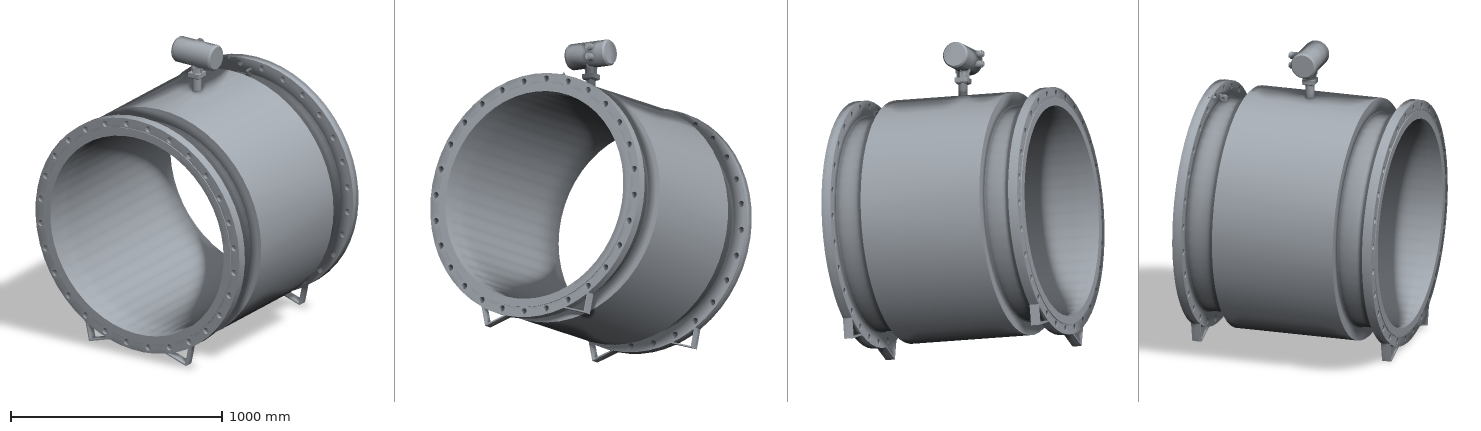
import cadquery as cq

length = 1000.0
bore_dia = 1000.0
tube_dia = 1020.0
coil_housing_dia = 1157.0
coil_housing_length = 601.0
weld_size = 6.0

flange_dia = 1175.0
flange_thickness = 46.0
raised_face_dia = 1080.0
raised_face_height = 5.0
bolt_count = 28
bolt_circle_dia = 1120.0
bolt_hole_dia = 30.0
flange_outer_y = length / 2 - raised_face_height
flange_inner_y = flange_outer_y - flange_thickness
bolt_pitch_angle = 360 / bolt_count

lug_size = 36.0
lug_width = 11.0
lug_hole_dia = 19.0
lug_corner_chamfer = 6.0
lug_root = 3.0

foot_outer_end = (-301.0, -500.0)
foot_tip = (-279.0, -601.0)
foot_inner_end = (-149.0, -561.0)
foot_strip = 7.0

head_dia = 125.0
head_end_dia = 110.0
head_length = 223.0
head_x = 1.0
head_chamfer_length = 10.0
head_top_z = 830.0
head_z = head_top_z - head_dia / 2
pole_dia = 42.0
collar_width = 62.0
collar_bottom_z = 646.0
collar_top_z = 673.0
collar_chamfer = 6.0
rib_top_width = 72.0
rib_step_z = 699.0
rib_thickness = 6.0

gland_x = -36.0
gland_spacing = 49.0
gland_dia = 35.0
gland_end_y = 83.0
gland_nut_dia = 25.0
gland_nut_end_y = 92.0

terminal_angle = 12.5
terminal_plate_length = 35.0
terminal_plate_width = 19.0
terminal_plate_thickness = 7.0
terminal_plate_start_y = 430.0
screw_dia = 8.0
screw_y = 442.0
screw_bottom_radius = 579.0
screw_head_dia = 15.0
screw_head_height = 6.0
screw_head_top_radius = 597.0
screw_top_radius = 601.0


def cylinder_y(diameter, start_y, end_y, x=0, z=0):
    """Cylinder parallel to Y between two Y positions."""
    return (
        cq.Workplane("XZ", origin=(x, start_y, z))
        .circle(diameter / 2)
        .extrude(start_y - end_y)
    )


def cylinder_z(diameter, bottom_z, top_z, y=0):
    """Cylinder parallel to Z between two heights."""
    return (
        cq.Workplane("XY", origin=(0, y, bottom_z))
        .circle(diameter / 2)
        .extrude(top_z - bottom_z)
    )


def block_z(size_x, size_y, bottom_z, top_z):
    """Block centred on the Z axis between two heights."""
    height = top_z - bottom_z
    return (
        cq.Workplane("XY", origin=(0, 0, bottom_z))
        .box(size_x, size_y, height, centered=(True, True, False))
    )


def make_flange():
    """Flange at the +Y end, with raised face and bolt holes."""
    flange = cylinder_y(flange_dia, flange_inner_y, flange_outer_y)
    flange = flange.union(cylinder_y(raised_face_dia, flange_inner_y, length / 2))
    holes = (
        cq.Workplane("XZ", origin=(0, flange_inner_y, 0))
        .polarArray(bolt_circle_dia / 2, 90 + bolt_pitch_angle / 2, 360, bolt_count)
        .circle(bolt_hole_dia / 2)
        .extrude(-flange_thickness)
    )
    return flange.cut(holes)


def make_weld(root_y, toe_y):
    """Conical weld around the tube, full size at root_y and fading out at toe_y."""
    tube_radius = tube_dia / 2
    return (
        cq.Workplane("XY")
        .moveTo(bore_dia / 2, root_y)
        .lineTo(tube_radius + weld_size, root_y)
        .lineTo(tube_radius, toe_y)
        .lineTo(bore_dia / 2, toe_y)
        .close()
        .revolve(360, (0, 0, 0), (0, 1, 0))
    )


def make_lug():
    """Pierced lifting lug in the corner between tube and +Y flange."""
    bottom_z = tube_dia / 2 - lug_root
    top_z = tube_dia / 2 + lug_size
    lug = (
        cq.Workplane("YZ", origin=(-lug_width / 2, 0, 0))
        .moveTo(flange_inner_y, bottom_z)
        .lineTo(flange_inner_y - lug_size, bottom_z)
        .lineTo(flange_inner_y - lug_size, top_z - lug_corner_chamfer)
        .lineTo(flange_inner_y - lug_size + lug_corner_chamfer, top_z)
        .lineTo(flange_inner_y, top_z)
        .close()
        .extrude(lug_width)
    )
    hole = (
        cq.Workplane("YZ", origin=(-lug_width / 2, 0, 0))
        .center(flange_inner_y - lug_size / 2, tube_dia / 2 + lug_size / 2)
        .circle(lug_hole_dia / 2)
        .extrude(lug_width)
    )
    return lug.cut(hole)


def make_foot():
    """Bent strip under the -X side of the +Y flange; its closing side is buried in the flange."""
    corners = (foot_outer_end, foot_tip, foot_inner_end)
    outline = cq.Workplane("XZ", origin=(0, flange_outer_y, 0)).polyline(corners).close()
    inner = outline.offset2D(-foot_strip).extrude(flange_thickness)
    outer = (
        cq.Workplane("XZ", origin=(0, flange_outer_y, 0))
        .polyline(corners)
        .close()
        .extrude(flange_thickness)
    )
    return outer.cut(inner)


def make_neck_rib():
    """Pair of opposite neck ribs, widening in a step just below the head."""
    lower = block_z(collar_width, rib_thickness, collar_top_z, head_z)
    upper = block_z(rib_top_width, rib_thickness, rib_step_z, head_z - head_dia / 4)
    return lower.union(upper)


def make_head():
    """Transmitter head with chamfered ends, cable glands, ribbed neck and pole."""
    end_drop = (head_dia - head_end_dia) / 2
    head = (
        cq.Workplane("YZ", origin=(head_x - head_length / 2, 0, head_z))
        .circle(head_dia / 2)
        .extrude(head_length)
        .faces("<X")
        .chamfer(head_chamfer_length, end_drop)
        .faces(">X")
        .chamfer(head_chamfer_length, end_drop)
    )
    for side in (-1, 1):
        gland_z = head_z + side * gland_spacing / 2
        head = head.union(cylinder_y(gland_dia, 0, gland_end_y, gland_x, gland_z))
        head = head.union(cylinder_y(gland_nut_dia, 0, gland_nut_end_y, gland_x, gland_z))

    collar = block_z(collar_width, collar_width, collar_bottom_z, collar_top_z)
    collar = collar.faces("<Z").chamfer(collar_chamfer)
    pole_bottom_z = tube_dia / 2
    return (
        head.union(cylinder_z(pole_dia, pole_bottom_z, head_z))
        .union(collar)
        .union(make_neck_rib())
        .union(make_neck_rib().rotate((0, 0, 0), (0, 0, 1), 90))
    )


def make_grounding_terminal():
    """Clamp plate with a radial screw, turned to its place on the flange rim."""
    plate_y = terminal_plate_start_y + terminal_plate_length / 2
    plate = (
        cq.Workplane("XY", origin=(0, plate_y, flange_dia / 2))
        .box(terminal_plate_width, terminal_plate_length, terminal_plate_thickness)
    )
    screw = cylinder_z(screw_dia, screw_bottom_radius, screw_top_radius, screw_y)
    head_bottom_radius = screw_head_top_radius - screw_head_height
    screw_head = cylinder_z(screw_head_dia, head_bottom_radius, screw_head_top_radius, screw_y)
    terminal = plate.union(screw).union(screw_head)
    return terminal.rotate((0, 0, 0), (0, 1, 0), -terminal_angle)


body = cylinder_y(tube_dia, -length / 2, length / 2)
body = body.union(cylinder_y(coil_housing_dia, -coil_housing_length / 2, coil_housing_length / 2))

foot = make_foot()
end_parts = (
    make_flange(),
    make_weld(flange_inner_y, flange_inner_y - weld_size),
    make_weld(coil_housing_length / 2, coil_housing_length / 2 + weld_size),
    make_lug(),
    foot,
    foot.mirror("YZ"),
)
for end_part in end_parts:
    body = body.union(end_part).union(end_part.mirror("XZ"))

body = body.cut(cylinder_y(bore_dia, -length / 2, length / 2))
result = body.union(make_head()).union(make_grounding_terminal())